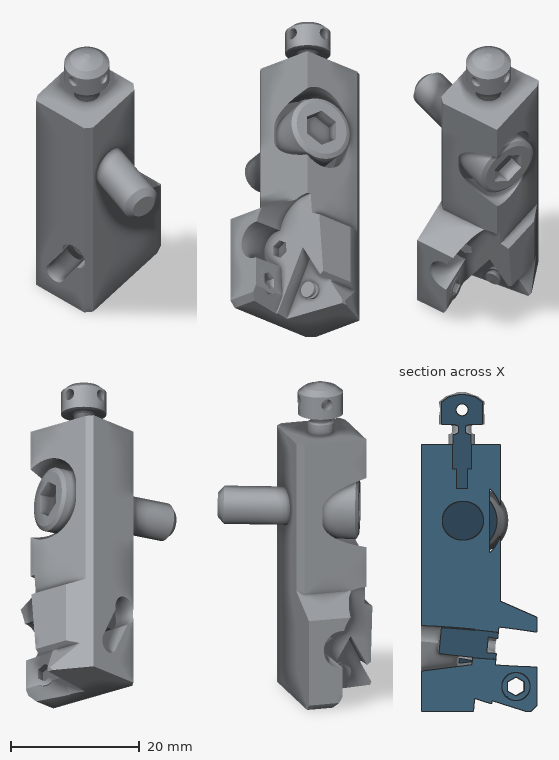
import cadquery as cq
import math


shank_width = 11.1
shank_depth = 12.3
shank_height = 41.5
corner_chamfer = 1.0
bevel_start = 10.55
bevel_angle = math.radians(25)
step_width = 12.45
step_bottom = 4.7
step_top = 14.0
step_slope = 0.6
notch_x = -11.5
notch_z = 4.05
foot_x = -13.55
foot_corner_width = 0.2
foot_corner_height = 0.5
nose_back = 18.0
nose_back_height = 14.7
nose_top_slope = 0.44
nose_front = 7.45
nose_chamfer = 1.0

seat_tilt_x = 0.13
seat_tilt_z = 0.094
seat_y = 8.65
pocket_depth = 2.7
wall_lean = math.tan(math.radians(30))
pocket_left = -14.2
pocket_right = -2.9
gullet_right = -2.6
gullet_center = (-10.4, 11.8)
gullet_radius = 6.2
below_bottom = 3.0
reach = 19.85

lever_bore_center = (-4.15, 10.5)
slot_end = (-7.85, 4.25)
slot_radius = 1.7
slot_floor = 1.0
lever_bore_radius = 2.25
gullet_bore_radius = 3.0
lever_screw_radius = 2.15
lever_screw_front = 6.2
lever_socket_flats = 2.5
lever_socket_depth = 1.5
arm_width = 3.0
arm_start = 2.2
arm_flat_end = 4.5
arm_slope_end = 6.7
arm_end = 8.75
arm_front = 3.0
arm_slope_front = 2.5
arm_tip_front = 1.75
pin_center = (-8.15, 3.2)
pin_radius = 1.25
pin_neck_radius = 0.95
pin_height = 1.5
pin_ring = 0.5

adjust_x = -5.45
adjust_y = 6.3
adjust_head_bottom = 44.55
adjust_head_edge = 48.1
adjust_dome_edge = 48.9
adjust_top = 49.6
adjust_head_radius = 3.5
adjust_dome_radius = 2.55
adjust_crown_radius = 0.55
adjust_shank_radius = 2.05
adjust_shank_top = 43.1
adjust_neck_radius = 1.55
adjust_neck_chamfer = 0.25
adjust_shank_bottom = 37.7
adjust_tip_radius = 1.65
adjust_hole_radius = 0.9
adjust_hole_z = 46.85

clamp_angle = math.radians(20)
clamp_y = 4.95
clamp_z = 29.65
clamp_face = -11.65
clamp_head_length = 5.95
clamp_tip = 10.25
clamp_head_radius = 5.0
clamp_face_radius = 4.3
clamp_face_chamfer = 0.4
clamp_shank_radius = 3.0
clamp_tip_chamfer = 1.0
clamp_socket_flats = 5.0
clamp_socket_depth = 2.5
counterbore_radius = 5.55
counterbore_travel = 2.0
adjust_tip_bottom = clamp_z + clamp_head_radius

set_screw_radius = 2.15
set_screw_flats = 2.5
set_screw_socket_depth = 1.5
set_screw_length = 3.95
set_screw_y = 14.55
set_screw_z = 3.9


def seat_plane(offset=0.0):
    """Plane parallel to the seat, moved toward the front; its axes run nearly along X and Z."""
    normal = cq.Vector(seat_tilt_x, -1, seat_tilt_z).normalized()
    origin = cq.Vector(0, seat_y, 0) + normal * offset
    return cq.Plane(origin=origin.toTuple(), xDir=(1, seat_tilt_x, 0), normal=normal.toTuple())


def seat_cylinder(center, radius, start, length):
    """Cylinder square to the seat that runs frontward from the offset start."""
    return cq.Workplane(seat_plane(start)).center(*center).circle(radius).extrude(length)


def hexagon(workplane, flats, depth):
    """Hexagonal prism with two corners pointing along the local Y axis."""
    corner_diameter = flats / math.cos(math.radians(30))
    return workplane.transformed(rotate=(0, 0, 90)).polygon(6, corner_diameter).extrude(depth)


def clamp_plane(position):
    """Plane square to the clamping screw at a position along its axis, facing its tip."""
    along = (math.cos(clamp_angle), -math.sin(clamp_angle), 0)
    origin = (position * along[0], clamp_y + position * along[1], clamp_z)
    side = (math.sin(clamp_angle), math.cos(clamp_angle), 0)
    return cq.Plane(origin=origin, xDir=side, normal=along)


def set_screw_plane():
    """Plane of the flat nose wall at the set screw, facing into the nose."""
    flat_x = gullet_center[0] + gullet_radius
    wall_x = flat_x - seat_tilt_x * (set_screw_y - seat_y - seat_tilt_x * flat_x)
    return cq.Plane(
        origin=(wall_x, set_screw_y, set_screw_z),
        xDir=(-seat_tilt_x, 1, 0),
        normal=(1, seat_tilt_x, 0),
    )


def make_shank():
    profile = [
        (0, 0),
        (foot_x + foot_corner_width, 0),
        (foot_x, foot_corner_height),
        (notch_x, notch_z),
        (-step_width, step_bottom),
        (-step_width, step_top),
        (-shank_width, step_top + step_slope),
        (-shank_width, shank_height),
        (0, shank_height),
    ]
    shank = cq.Workplane("XZ").polyline(profile).close().extrude(-shank_depth)
    shank = shank.edges("|Z and >X").chamfer(corner_chamfer)
    bevel = [
        (-bevel_start, 0),
        (-bevel_start - shank_depth * math.tan(bevel_angle), shank_depth),
        (-reach, shank_depth),
        (-reach, 0),
    ]
    return shank.cut(cq.Workplane("XY").polyline(bevel).close().extrude(shank_height))


def make_nose():
    front_height = nose_back_height + nose_top_slope * (nose_back - nose_front)
    profile = [
        (nose_front, 0),
        (nose_back - nose_chamfer, 0),
        (nose_back, nose_chamfer),
        (nose_back, nose_back_height),
        (nose_front, front_height),
    ]
    return cq.Workplane("YZ").polyline(profile).close().extrude(-shank_width)


def make_gullet():
    """Open space beyond the rake face: an arc, a flat wall and a leaning wall."""
    center_x, center_z = gullet_center
    wall_x = center_x + gullet_radius
    wall_bottom = (gullet_right - wall_x) / wall_lean
    diagonal = gullet_radius * math.sqrt(0.5)
    gullet = (
        cq.Workplane(seat_plane(-pocket_depth))
        .moveTo(-reach, center_z + gullet_radius)
        .lineTo(center_x, center_z + gullet_radius)
        .threePointArc((center_x + diagonal, center_z + diagonal), (wall_x, center_z))
        .lineTo(wall_x, wall_bottom)
        .lineTo(gullet_right + below_bottom * wall_lean, -below_bottom)
        .lineTo(-reach, -below_bottom)
        .close()
        .extrude(-reach)
    )
    return gullet.union(seat_cylinder(lever_bore_center, gullet_bore_radius, -pocket_depth, -reach))


def make_pocket():
    """Triangular insert pocket, open at the bottom."""
    apex_x = (pocket_left + pocket_right) / 2
    apex_z = (pocket_right - pocket_left) / 2 / wall_lean
    spread = below_bottom * wall_lean
    triangle = [
        (pocket_left - spread, -below_bottom),
        (pocket_right + spread, -below_bottom),
        (apex_x, apex_z),
    ]
    return cq.Workplane(seat_plane()).polyline(triangle).close().extrude(-pocket_depth)


def slot_run():
    """Length and direction in degrees of the lever slot, from its bore to its round end."""
    run_x = slot_end[0] - lever_bore_center[0]
    run_z = slot_end[1] - lever_bore_center[1]
    return math.hypot(run_x, run_z), math.degrees(math.atan2(run_z, run_x))


def make_lever_slot():
    length, angle = slot_run()
    middle_x = (lever_bore_center[0] + slot_end[0]) / 2
    middle_z = (lever_bore_center[1] + slot_end[1]) / 2
    slot = (
        cq.Workplane(seat_plane(slot_floor))
        .center(middle_x, middle_z)
        .slot2D(length + 2 * slot_radius, 2 * slot_radius, angle)
        .extrude(reach)
    )
    slot = slot.union(seat_cylinder(lever_bore_center, lever_bore_radius, slot_floor, reach))
    screw_hole = seat_cylinder(lever_bore_center, lever_screw_radius, -pocket_depth, reach)
    pin_hole = seat_cylinder(pin_center, pin_neck_radius, 0, slot_floor)
    return slot.union(screw_hole).union(pin_hole)


def make_clamp_seat():
    """Clearance for the clamping screw: an oblong counterbore and a plain hole."""
    counterbore = (
        cq.Workplane(clamp_plane(clamp_face + clamp_head_length))
        .slot2D(counterbore_travel + 2 * counterbore_radius, 2 * counterbore_radius, 90)
        .extrude(-reach)
    )
    hole = cq.Workplane(clamp_plane(clamp_face)).circle(clamp_shank_radius).extrude(2 * reach)
    return counterbore.union(hole)


def make_adjust_shape():
    """Turned shape of the adjusting screw, without its tommy holes."""
    neck_start = adjust_shank_top + adjust_neck_chamfer
    neck_end = adjust_head_bottom - adjust_neck_chamfer
    profile = [
        (0, adjust_tip_bottom),
        (adjust_tip_radius, adjust_tip_bottom),
        (adjust_tip_radius, adjust_shank_bottom),
        (adjust_shank_radius, adjust_shank_bottom),
        (adjust_shank_radius, adjust_shank_top),
        (adjust_neck_radius + adjust_neck_chamfer, adjust_shank_top),
        (adjust_neck_radius, neck_start),
        (adjust_neck_radius, neck_end),
        (adjust_neck_radius + adjust_neck_chamfer, adjust_head_bottom),
        (adjust_head_radius, adjust_head_bottom),
        (adjust_head_radius, adjust_head_edge),
        (adjust_dome_radius, adjust_dome_edge),
        (adjust_crown_radius, adjust_top),
        (0, adjust_top),
    ]
    turned = cq.Workplane("XZ").polyline(profile).close().revolve(360, (0, 0, 0), (0, 1, 0))
    return turned.translate((adjust_x, adjust_y, 0))


def make_set_screw_blank():
    return cq.Workplane(set_screw_plane()).circle(set_screw_radius).extrude(set_screw_length)


def make_set_screw():
    socket = hexagon(cq.Workplane(set_screw_plane()), set_screw_flats, set_screw_socket_depth)
    return make_set_screw_blank().cut(socket)


def make_cartridge():
    cartridge = make_shank().union(make_nose())
    cartridge = cartridge.cut(make_gullet())
    cartridge = cartridge.cut(make_pocket())
    cartridge = cartridge.cut(make_lever_slot())
    cartridge = cartridge.cut(make_clamp_seat())
    cartridge = cartridge.cut(make_adjust_shape())
    return cartridge.cut(make_set_screw_blank())


def make_adjusting_screw():
    screw = make_adjust_shape()
    for plane_name, across in (("XZ", adjust_x), ("YZ", adjust_y)):
        hole = (
            cq.Workplane(plane_name)
            .center(across, adjust_hole_z)
            .circle(adjust_hole_radius)
            .extrude(reach, both=True)
        )
        screw = screw.cut(hole)
    return screw


def make_clamping_screw():
    tip_radius = clamp_shank_radius - clamp_tip_chamfer
    length = clamp_tip - clamp_face
    profile = [
        (0, 0),
        (clamp_face_radius, 0),
        (clamp_head_radius, clamp_face_chamfer),
        (clamp_head_radius, clamp_head_length),
        (clamp_shank_radius, clamp_head_length),
        (clamp_shank_radius, length - clamp_tip_chamfer),
        (tip_radius, length),
        (0, length),
    ]
    turned = cq.Workplane("XZ").polyline(profile).close().revolve(360, (0, 0, 0), (0, 1, 0))
    screw = cq.Workplane(turned.val().moved(cq.Location(clamp_plane(clamp_face))))
    socket = hexagon(cq.Workplane(clamp_plane(clamp_face)), clamp_socket_flats, clamp_socket_depth)
    return screw.cut(socket)


def make_lever_screw():
    length = lever_screw_front + pocket_depth
    screw = seat_cylinder(lever_bore_center, lever_screw_radius, -pocket_depth, length)
    socket_face = cq.Workplane(seat_plane(-pocket_depth)).center(*lever_bore_center)
    return screw.cut(hexagon(socket_face, lever_socket_flats, lever_socket_depth))


def make_lever():
    """Arm along the slot: a side profile with a flat and two slopes."""
    profile = [
        (arm_start, slot_floor),
        (arm_start, arm_front),
        (arm_flat_end, arm_front),
        (arm_slope_end, arm_slope_front),
        (arm_end, arm_tip_front),
        (arm_end, slot_floor),
    ]
    arm = cq.Workplane("XZ").polyline(profile).close().extrude(arm_width / 2, both=True)
    angle = slot_run()[1]
    straight_length = arm_end - arm_width / 2
    rounding = cq.Workplane("XY").circle(arm_width / 2).extrude(reach)
    rounding = rounding.translate((straight_length, 0, 0))
    straight = cq.Workplane("XY").box(straight_length, arm_width, reach, centered=(False, True, False))
    arm = arm.intersect(straight.union(rounding))
    arm = arm.rotate((0, 0, 0), (0, 0, 1), angle).translate((*lever_bore_center, 0))
    return cq.Workplane(arm.val().moved(cq.Location(seat_plane())))


def make_locating_pin():
    """Pin standing on the seat, with a groove between two rings and a stem through the slot floor."""
    pin = seat_cylinder(pin_center, pin_neck_radius, -pin_height, pin_height + slot_floor)
    for ring_start in (0, pin_ring - pin_height):
        pin = pin.union(seat_cylinder(pin_center, pin_radius, ring_start, -pin_ring))
    return pin


cartridge = make_cartridge()
adjusting_screw = make_adjusting_screw()
clamping_screw = make_clamping_screw()
set_screw = make_set_screw()
lever_screw = make_lever_screw()
lever = make_lever()
locating_pin = make_locating_pin()

result = cq.Compound.makeCompound([
    cartridge.val(),
    adjusting_screw.val(),
    clamping_screw.val(),
    set_screw.val(),
    lever_screw.val(),
    lever.val(),
    locating_pin.val(),
])